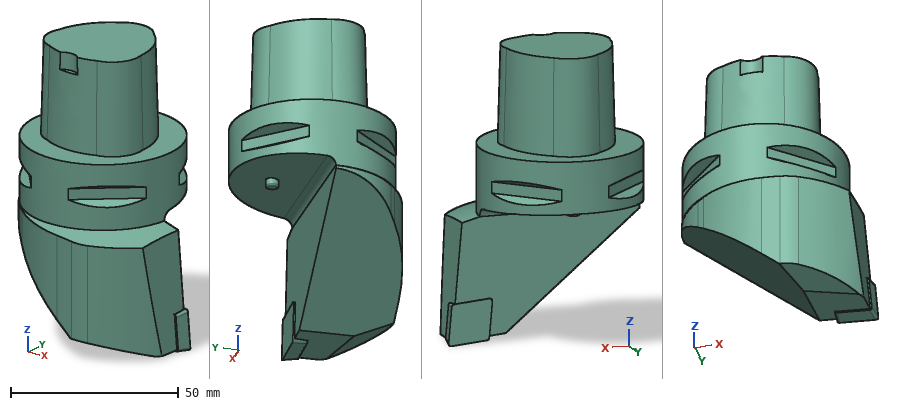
import cadquery as cq
import math


SHANK_HEIGHT = 30.0
LOBE_RADIUS = 18.8
FLAT_RADIUS = 16.4
JOINT_RADIUS = 17.3
LOBE_HALF_ANGLE = 25
FIRST_LOBE_ANGLE = 90
LOBE_COUNT = 3
LOBE_SPACING = 360 / LOBE_COUNT
SHANK_DRAW_IN = 0.8

SHANK_NOTCH_RADIUS = 4.95
SHANK_NOTCH_DEPTH = 5.5
SHANK_NOTCH_Y = -18.9

FLANGE_RADIUS = 50.0 / 2
FLANGE_HEIGHT = 21.0
GROOVE_ANGLES = (45, 135, 225, 315)
GROOVE_FLOOR_RADIUS = 22.1
GROOVE_FLOOR_HEIGHT = 3.5
GROOVE_Z = -10.3
GROOVE_SIDE_ANGLE = 30

RELIEF_EDGE_Z = -16.1
RELIEF_ANGLE = 5
RELIEF_FILLET = 3.0

NOZZLE_RADIUS = 4.0 / 2
NOZZLE_Y = 12.4
NOZZLE_BOTTOM_Z = -19.4
NOZZLE_TIP_ROUND = 0.5

HEAD_FACE_Y = -0.5
HEAD_RADIUS = 25.3
HEAD_FRONT_Y = -28.6
HEAD_RIM_MID_ANGLE = 205
HEAD_RIM_END_ANGLE = 232.5
HEAD_SWEEP_START = (-13.1, -21.8)
HEAD_SWEEP_MID = (-3.7, -26.8)
HEAD_FRONT_LEFT_X = 6.9
HEAD_FRONT_RIGHT_X = 12.8
HEAD_CORNER_MID = (15.5, -28.3)
HEAD_CORNER_END = (18.1, -27.4)
HEAD_BULGE_MID = (27.6, -20.3)
HEAD_BULGE_END = (33.75, -11.6)
HEAD_BLANK_RIGHT_X = 36.9
HEAD_TOP_ANGLE = 15
HEAD_SIDE_ANGLE = 5
HEAD_SIDE_TOP_X = 30.5
HEAD_BACK_ANGLE = 40
HEAD_BACK_Z = -22.05
HEAD_HEEL_Z = -57.4
UNDERSIDE_ANGLE = 5
FRONT_BEVEL_ANGLE = 18
FRONT_BEVEL_Z = -53.8

INSERT_TIP_X = 35.0
INSERT_TIP_Z = -60.0
INSERT_INSCRIBED = 12.7
INSERT_THICKNESS = 4.8
INSERT_CLEARANCE = 7
INSERT_NOSE_ANGLE = 80
INSERT_NOSE_RADIUS = 0.8
NOSE_DIRECTION = -45

REACH = 90.0


def slope(angle):
    return math.tan(math.radians(angle))


def polar(radius, angle):
    return (radius * math.cos(math.radians(angle)), radius * math.sin(math.radians(angle)))


def lobed_outline(plane, inset):
    """Six arcs: three lobes alternating with three flatter sides."""
    joint = JOINT_RADIUS - inset
    outline = plane.moveTo(*polar(joint, FIRST_LOBE_ANGLE - LOBE_HALF_ANGLE))
    for i in range(LOBE_COUNT):
        angle = FIRST_LOBE_ANGLE + i * LOBE_SPACING
        outline = outline.threePointArc(
            polar(LOBE_RADIUS - inset, angle), polar(joint, angle + LOBE_HALF_ANGLE)
        ).threePointArc(
            polar(FLAT_RADIUS - inset, angle + LOBE_SPACING / 2), polar(joint, angle + LOBE_SPACING - LOBE_HALF_ANGLE)
        )
    return outline.close()


def make_shank():
    base = lobed_outline(cq.Workplane("XY"), 0)
    shank = lobed_outline(base.workplane(offset=SHANK_HEIGHT), SHANK_DRAW_IN).loft(ruled=True)
    notch = (
        cq.Workplane("XY", origin=(0, SHANK_NOTCH_Y, SHANK_HEIGHT))
        .circle(SHANK_NOTCH_RADIUS)
        .extrude(-SHANK_NOTCH_DEPTH)
    )
    return shank.cut(notch)


def gripper_groove(angle):
    half_floor = GROOVE_FLOOR_HEIGHT / 2
    depth = FLANGE_RADIUS - GROOVE_FLOOR_RADIUS
    half_mouth = half_floor + depth * slope(GROOVE_SIDE_ANGLE)
    return (
        cq.Workplane("XZ")
        .polyline([
            (GROOVE_FLOOR_RADIUS, GROOVE_Z - half_floor),
            (GROOVE_FLOOR_RADIUS, GROOVE_Z + half_floor),
            (FLANGE_RADIUS, GROOVE_Z + half_mouth),
            (FLANGE_RADIUS, GROOVE_Z - half_mouth),
        ])
        .close()
        .extrude(FLANGE_RADIUS, both=True)
        .rotate((0, 0, 0), (0, 0, 1), angle)
    )


def flange_relief():
    inner_z = RELIEF_EDGE_Z - (FLANGE_RADIUS - HEAD_FACE_Y) * slope(RELIEF_ANGLE)
    outer_z = inner_z + (REACH - HEAD_FACE_Y) * slope(RELIEF_ANGLE)
    relief = (
        cq.Workplane("YZ")
        .polyline([(HEAD_FACE_Y, -REACH), (HEAD_FACE_Y, inner_z), (REACH, outer_z), (REACH, -REACH)])
        .close()
        .extrude(REACH, both=True)
    )
    return relief.edges("|X").edges("<Y").edges(">Z").fillet(RELIEF_FILLET)


def make_flange():
    flange = cq.Workplane("XY").circle(FLANGE_RADIUS).extrude(-FLANGE_HEIGHT)
    for angle in GROOVE_ANGLES:
        flange = flange.cut(gripper_groove(angle))
    return flange.cut(flange_relief())


def make_nozzle():
    return (
        cq.Workplane("XY", origin=(0, NOZZLE_Y, NOZZLE_BOTTOM_Z))
        .circle(NOZZLE_RADIUS)
        .extrude(RELIEF_EDGE_Z - NOZZLE_BOTTOM_Z)
        .faces("<Z")
        .fillet(NOZZLE_TIP_ROUND)
    )


def head_plan():
    """Plan shape of the head, extruded down past the underside."""
    return (
        cq.Workplane("XY", origin=(0, 0, -FLANGE_HEIGHT))
        .moveTo(-math.sqrt(HEAD_RADIUS**2 - HEAD_FACE_Y**2), HEAD_FACE_Y)
        .threePointArc(polar(HEAD_RADIUS, HEAD_RIM_MID_ANGLE), polar(HEAD_RADIUS, HEAD_RIM_END_ANGLE))
        .lineTo(*HEAD_SWEEP_START)
        .threePointArc(HEAD_SWEEP_MID, (HEAD_FRONT_LEFT_X, HEAD_FRONT_Y))
        .lineTo(HEAD_FRONT_RIGHT_X, HEAD_FRONT_Y)
        .threePointArc(HEAD_CORNER_MID, HEAD_CORNER_END)
        .threePointArc(HEAD_BULGE_MID, HEAD_BULGE_END)
        .lineTo(HEAD_BLANK_RIGHT_X, HEAD_FACE_Y)
        .close()
        .extrude(-REACH)
    )


def head_side_profile():
    """Sloping back, underside and right side, as a prism along Y."""
    left = -HEAD_RADIUS
    heel_x = left + (HEAD_BACK_Z - HEAD_HEEL_Z) / slope(HEAD_BACK_ANGLE)
    side = slope(HEAD_SIDE_ANGLE)
    under = slope(UNDERSIDE_ANGLE)
    corner_x = (
        HEAD_SIDE_TOP_X - side * (FLANGE_HEIGHT + HEAD_HEEL_Z + under * heel_x)
    ) / (1 - side * under)
    corner_z = HEAD_HEEL_Z - under * (corner_x - heel_x)
    return (
        cq.Workplane("XZ")
        .polyline([
            (left, -FLANGE_HEIGHT),
            (left, HEAD_BACK_Z),
            (heel_x, HEAD_HEEL_Z),
            (corner_x, corner_z),
            (HEAD_SIDE_TOP_X, -FLANGE_HEIGHT),
        ])
        .close()
        .extrude(REACH)
    )


def head_top_cone():
    """Ring above the conical shoulder that falls away from the flange rim."""
    drop = (REACH - FLANGE_RADIUS) * slope(HEAD_TOP_ANGLE)
    return (
        cq.Workplane("XZ")
        .polyline([
            (FLANGE_RADIUS, -FLANGE_HEIGHT),
            (REACH, -FLANGE_HEIGHT),
            (REACH, -FLANGE_HEIGHT - drop),
        ])
        .close()
        .revolve(360, (0, 0, 0), (0, 1, 0))
    )


def front_bevel():
    """Wedge below the bevelled front edge of the underside."""
    drop = -HEAD_FRONT_Y * slope(FRONT_BEVEL_ANGLE)
    return (
        cq.Workplane("YZ")
        .polyline([
            (HEAD_FRONT_Y, FRONT_BEVEL_Z),
            (0, FRONT_BEVEL_Z - drop),
            (0, -REACH),
            (HEAD_FRONT_Y, -REACH),
        ])
        .close()
        .extrude(REACH, both=True)
    )


def make_head():
    return head_plan().intersect(head_side_profile()).cut(head_top_cone()).cut(front_bevel())


def make_insert():
    """Rhombus with its rake face at Y = 0, narrowing towards -Y."""
    side = INSERT_INSCRIBED / math.sin(math.radians(INSERT_NOSE_ANGLE))
    nose_offset = INSERT_NOSE_RADIUS / math.sin(math.radians(INSERT_NOSE_ANGLE / 2))
    shift_x, shift_z = polar(nose_offset, NOSE_DIRECTION)
    tip_x = INSERT_TIP_X - INSERT_NOSE_RADIUS + shift_x
    tip_z = INSERT_TIP_Z + INSERT_NOSE_RADIUS + shift_z
    up_x, up_z = polar(side, NOSE_DIRECTION + 180 - INSERT_NOSE_ANGLE / 2)
    back_x, back_z = polar(side, NOSE_DIRECTION + 180 + INSERT_NOSE_ANGLE / 2)
    insert = (
        cq.Workplane("XZ")
        .polyline([
            (tip_x, tip_z),
            (tip_x + up_x, tip_z + up_z),
            (tip_x + up_x + back_x, tip_z + up_z + back_z),
            (tip_x + back_x, tip_z + back_z),
        ])
        .close()
        .extrude(INSERT_THICKNESS, taper=INSERT_CLEARANCE)
    )
    corner_edges = insert.edges("not(#Y)")
    return corner_edges.fillet(INSERT_NOSE_RADIUS)


insert = make_insert()
holder = make_flange().union(make_shank()).union(make_nozzle()).union(make_head()).cut(insert)

result = cq.Compound.makeCompound([holder.val(), insert.val()])